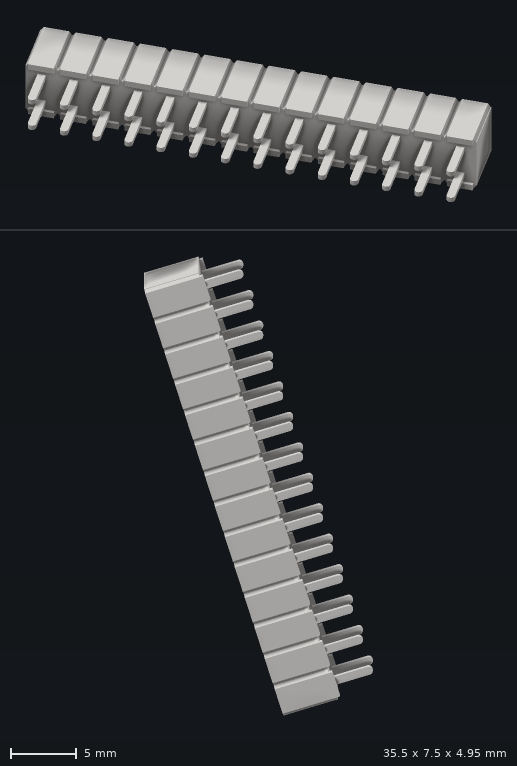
import cadquery as cq

length = 35.55
depth = 7.5
height = 4.95

column_count = 14
pitch = length / column_count
row_offset = pitch / 2

housing_depth = 4.35
slope_width = 0.2
groove_depth = 0.32
ridge_width = 2.03

pad_depth = 0.25
pad_height = 0.55

pin_width = 0.65
pin_height = 0.43
tip_radius = pin_width / 2

back_y = depth / 2
face_y = back_y - housing_depth
tip_y = -depth / 2

column_positions = [(column - (column_count - 1) / 2) * pitch for column in range(column_count)]


def make_housing():
    """Block whose top and bottom carry one trapezoidal ridge per pin column."""
    root_z = height / 2 - groove_depth
    ridge_half = ridge_width / 2
    root_half = ridge_half + slope_width

    core = cq.Workplane("XY").box(length, housing_depth, 2 * root_z)
    core = core.translate((0, back_y - housing_depth / 2, 0))
    for x in column_positions:
        ridges = (
            cq.Workplane("XZ", origin=(x, back_y, 0))
            .moveTo(-root_half, -root_z)
            .lineTo(-ridge_half, -height / 2)
            .lineTo(ridge_half, -height / 2)
            .lineTo(root_half, -root_z)
            .lineTo(root_half, root_z)
            .lineTo(ridge_half, height / 2)
            .lineTo(-ridge_half, height / 2)
            .lineTo(-root_half, root_z)
            .close()
            .extrude(housing_depth)
        )
        core = core.union(ridges)
    return core


def make_pad(x, side):
    """Standoff pad flush with a ridge; side is +1 for the top, -1 for the bottom."""
    pad = cq.Workplane("XY").box(ridge_width, pad_depth, pad_height)
    return pad.translate((x, face_y - pad_depth / 2, side * (height - pad_height) / 2))


def make_pin(x, z):
    """Flat pin running from the housing face to a half-round tip."""
    shoulder_y = tip_y + tip_radius
    return (
        cq.Workplane("XY", origin=(x, 0, z - pin_height / 2))
        .moveTo(-tip_radius, face_y)
        .lineTo(-tip_radius, shoulder_y)
        .threePointArc((0, tip_y), (tip_radius, shoulder_y))
        .lineTo(tip_radius, face_y)
        .close()
        .extrude(pin_height)
    )


result = make_housing()
for x in column_positions:
    for side in (1, -1):
        result = result.union(make_pad(x, side))
        result = result.union(make_pin(x, side * row_offset))